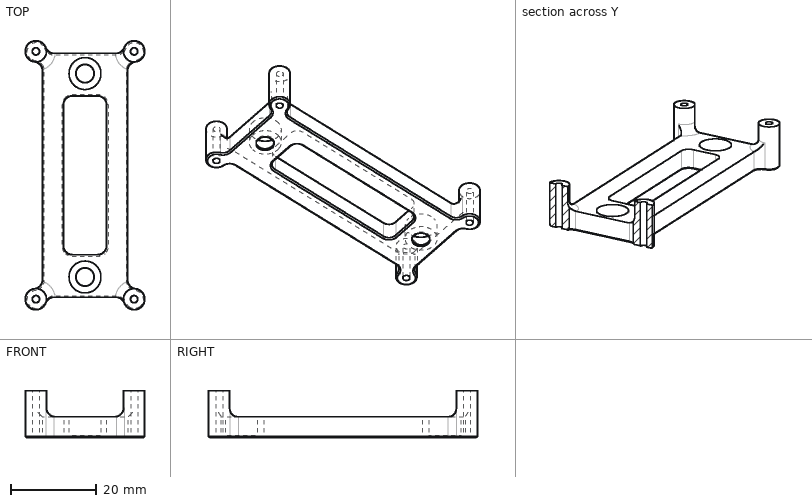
import cadquery as cq

overall_width = 28.0
overall_length = 63.0
overall_height = 11.0

plate_width = 20.0
plate_length = 57.15
plate_thickness = 5.0
window_width = 10.0
window_length = 37.1
window_corner_radius = 2.0
bottom_chamfer = 0.4

post_diameter = 5.0
pilot_diameter = 1.65
blend_radius = 2.0
post_radius = post_diameter / 2
post_x = overall_width / 2 - post_radius
post_y = overall_length / 2 - post_radius

mount_y = 23.8
mount_diameter = 4.2
counterbore_diameter = 7.5
counterbore_depth = 4.4


def quarter_base():
    """Base of the +X +Y quarter, with the post blended into both plate sides."""
    plate = cq.Workplane("XY").box(
        plate_width / 2, plate_length / 2, plate_thickness, centered=False
    )
    foot = cq.Workplane("XY").center(post_x, post_y).circle(post_radius).extrude(plate_thickness)
    inner_corner = (post_x - 1.5 * post_radius, post_y - 1.5 * post_radius, 0)
    outer_corner = (post_x + post_radius / 2, post_y + post_radius / 2, plate_thickness)
    joints = cq.selectors.BoxSelector(inner_corner, outer_corner)
    return plate.union(foot).edges("|Z").edges(joints).fillet(blend_radius)


def mirrored_to_four(quarter):
    """Complete a quarter by mirroring it across the YZ and XZ planes."""
    half = quarter.union(quarter.mirror("YZ"))
    return half.union(half.mirror("XZ"))


def upper_post(base):
    """Post above the plate, with a concave fillet kept inside the base outline."""
    post = cq.Workplane("XY").center(post_x, post_y).circle(post_radius).extrude(overall_height)
    post = post.faces("<Z").edges().chamfer(bottom_chamfer)
    flare_radius = post_radius + blend_radius
    flare_top = plate_thickness + blend_radius
    arc_offset = blend_radius * (1 - 0.5**0.5)
    flare = (
        cq.Workplane("XZ")
        .moveTo(0, plate_thickness)
        .lineTo(flare_radius, plate_thickness)
        .threePointArc(
            (post_radius + arc_offset, plate_thickness + arc_offset),
            (post_radius, flare_top),
        )
        .lineTo(0, flare_top)
        .close()
        .revolve(360, (0, 0, 0), (0, 1, 0))
        .translate((post_x, post_y, 0))
    )
    outline = base.faces("<Z").wires().toPending().extrude(flare_top)
    return post.union(flare.intersect(outline))


base_quarter = quarter_base()

window = (
    cq.Workplane("XY")
    .rect(window_width, window_length)
    .extrude(plate_thickness)
    .edges("|Z")
    .fillet(window_corner_radius)
)

base = mirrored_to_four(base_quarter).cut(window)
base = base.faces("<Z").edges().chamfer(bottom_chamfer)
body = base.union(mirrored_to_four(upper_post(base_quarter)))

body = (
    body.copyWorkplane(cq.Workplane("XY", origin=(0, 0, plate_thickness)))
    .pushPoints([(0, -mount_y), (0, mount_y)])
    .cboreHole(mount_diameter, counterbore_diameter, counterbore_depth)
)

result = (
    body.copyWorkplane(cq.Workplane("XY", origin=(0, 0, overall_height)))
    .rect(2 * post_x, 2 * post_y, forConstruction=True)
    .vertices()
    .hole(pilot_diameter)
)